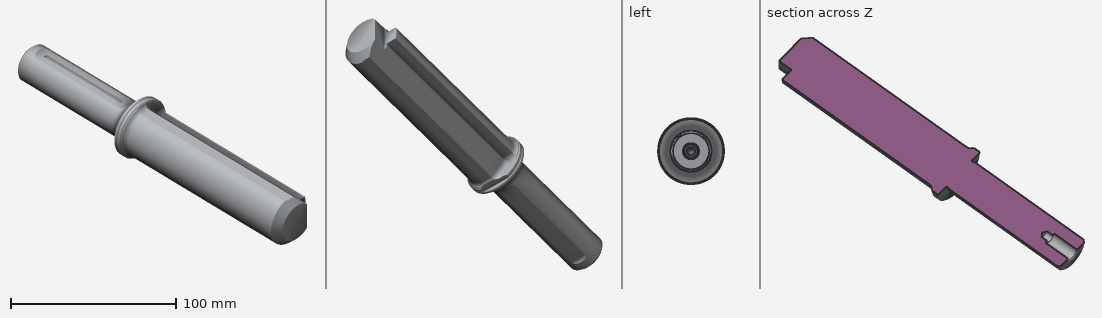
import cadquery as cq
import math

total_length = 225.0
collar_start = 89.5
lip_end = 92.0
collar_end = 95.0
key_end = 215.0

stub_diameter = 25.0
stub_radius = stub_diameter / 2
stub_chamfer = 1.5
relief_depth = 0.5
relief_length = 1.5
stub_flat_height = 11.2
stub_flat_start = 9.7
stub_flat_end = 80.0
runout_radius = 3.8

collar_radius = 20.0
collar_edge = 0.7
collar_notch = 0.5
collar_flat_height = 17.3

shaft_radius = 17.5
shaft_flat_height = 16.6
shaft_end_chamfer = 5.0
shaft_fillet = 3.5
bevel_distance = 12.5
step_y = 10.0
key_half_width = 5.0
end_cut_y = 8.5

groove_start = 12.2
groove_end = 77.2
groove_radius = 1.01

bore_radius = 4.0
bore_mouth_radius = 5.0
bore_depth = 18.0
pilot_radius = 2.5
pilot_depth = 22.5
drill_tip_angle = 118.0

tolerance = 0.02


def revolve_about_x(points):
    """Turn a closed (x, radius) outline around the X axis."""
    return cq.Workplane("XY").polyline(points).close().revolve(360, (0, 0, 0), (1, 0, 0))


def box(x_range, y_range, z_range):
    """Box between pairs of limits."""
    spans = (x_range, y_range, z_range)
    sizes = [high - low for low, high in spans]
    lows = [low for low, high in spans]
    return cq.Workplane("XY").box(*sizes, centered=False).translate(tuple(lows))


def turned_envelope():
    """Turned outline of the whole part, leaving room for the shaft section and its root fillet."""
    relief_radius = stub_radius - relief_depth
    relief_start = collar_start - relief_length
    rim_radius = collar_radius - collar_edge
    end_radius = shaft_radius - shaft_end_chamfer
    return revolve_about_x([
        (0, 0),
        (0, stub_radius - stub_chamfer),
        (stub_chamfer, stub_radius),
        (relief_start, stub_radius),
        (relief_start + relief_depth, relief_radius),
        (collar_start, relief_radius),
        (collar_start, rim_radius),
        (collar_start + collar_edge, collar_radius),
        (lip_end - collar_notch, collar_radius),
        (lip_end, collar_radius - collar_notch),
        (lip_end + collar_notch, collar_radius),
        (collar_end - collar_edge, collar_radius),
        (collar_end, rim_radius),
        (total_length - (rim_radius - end_radius), rim_radius),
        (total_length, end_radius),
        (total_length, 0),
    ])


def shaft_section():
    """Main shaft outline in the YZ plane: round at -Y, flats and bevels above and below, key at +Y."""
    flat_y = -math.sqrt(shaft_radius**2 - shaft_flat_height**2)
    bevel_sum = bevel_distance * math.sqrt(2)
    bevel_y = bevel_sum - shaft_flat_height
    step_height = bevel_sum - step_y
    key_y = math.sqrt(shaft_radius**2 - key_half_width**2)
    return (
        cq.Workplane("YZ", origin=(lip_end, 0, 0))
        .moveTo(flat_y, shaft_flat_height)
        .lineTo(bevel_y, shaft_flat_height)
        .lineTo(step_y, step_height)
        .lineTo(step_y, key_half_width)
        .lineTo(key_y, key_half_width)
        .threePointArc((shaft_radius, 0), (key_y, -key_half_width))
        .lineTo(step_y, -key_half_width)
        .lineTo(step_y, -step_height)
        .lineTo(bevel_y, -shaft_flat_height)
        .lineTo(flat_y, -shaft_flat_height)
        .threePointArc((-shaft_radius, 0), (flat_y, shaft_flat_height))
        .close()
    )


def main_shaft():
    """Shaft with its key, blended into a round blank that covers the stub and the collar."""
    blank_radius = collar_radius + 2 * shaft_fillet
    blank = cq.Workplane("YZ").circle(blank_radius).extrude(collar_end)
    shaft = shaft_section().extrude(total_length - lip_end)
    root_edges = cq.selectors.BoxSelector(
        (collar_end - tolerance, -collar_radius, -collar_radius),
        (collar_end + tolerance, collar_radius, collar_radius),
        boundingbox=True,
    )
    return blank.union(shaft).edges(root_edges).fillet(shaft_fillet)


def key_end_cut():
    """Space past the end of the key, where the shaft stops at a plane facing +Y."""
    reach = collar_radius
    return box((key_end, total_length), (end_cut_y, reach), (-reach, reach))


def collar_flat():
    """Space under the flat on the bottom of the collar behind its lip."""
    reach = collar_radius
    return box((lip_end, collar_end + shaft_fillet), (-reach, reach), (-reach, -collar_flat_height))


def stub_flat():
    """Space above the top flat of the stub, with a round run-out at each end."""
    pocket = box(
        (stub_flat_start - runout_radius, stub_flat_end + runout_radius),
        (-stub_radius, stub_radius),
        (stub_flat_height, stub_flat_height + 2 * runout_radius),
    )
    return pocket.edges("|Y and <Z").fillet(runout_radius)


def bore():
    """Wide bore with a bevelled mouth, a narrower pilot hole and its conical tip."""
    tip_length = pilot_radius / math.tan(math.radians(drill_tip_angle / 2))
    return revolve_about_x([
        (0, 0),
        (0, bore_mouth_radius),
        (bore_mouth_radius - bore_radius, bore_radius),
        (bore_depth, bore_radius),
        (bore_depth, pilot_radius),
        (pilot_depth, pilot_radius),
        (pilot_depth + tip_length, 0),
    ])


def stub_groove():
    """Half-round groove with square ends, its axis lying in the stub's top flat."""
    profile = cq.Workplane("YZ", origin=(groove_start, 0, stub_flat_height)).circle(groove_radius)
    return profile.extrude(groove_end - groove_start)


top_flat = stub_flat()
bottom_flat = top_flat.mirror("XY")

result = main_shaft().intersect(turned_envelope())
for cutter in (key_end_cut(), collar_flat(), top_flat, bottom_flat, stub_groove(), bore()):
    result = result.cut(cutter)